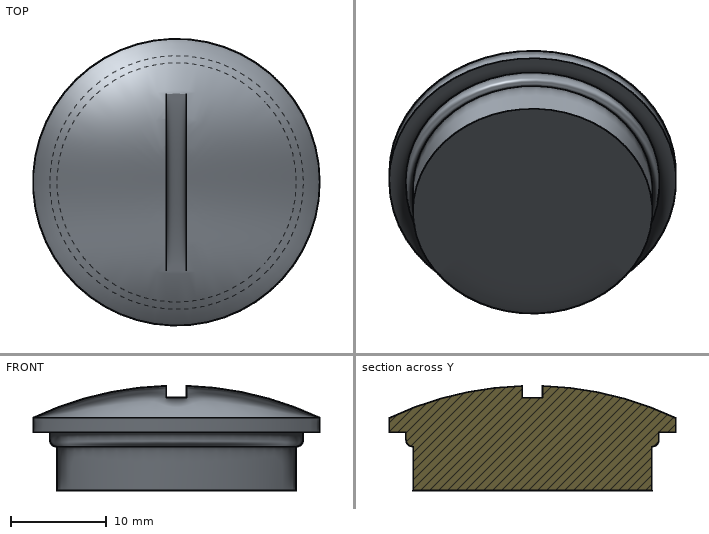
import cadquery as cq
import math

flange_radius = 15.0
collar_radius = 13.25
plug_radius = 12.5

collar_bottom = 4.6
flange_bottom = 6.1
flange_top = 7.62
crest_height = 10.98

slot_width = 2.07
slot_floor = 9.75


dome_center = (
    flange_radius**2 + flange_top**2 - (slot_width / 2) ** 2 - crest_height**2
) / (2 * (flange_top - crest_height))
sphere_radius = math.hypot(flange_radius, flange_top - dome_center)
dome_apex = dome_center + sphere_radius


def dome_height(radius):
    """Return the height of the dome surface at a distance from the axis."""
    return dome_center + math.sqrt(sphere_radius**2 - radius**2)


def make_body():
    """Revolve the half profile of plug, rounded collar, flange and dome about Z."""
    round_radius = collar_radius - plug_radius
    round_reach = round_radius * math.sqrt(0.5)
    collar_edge = collar_bottom + round_radius
    collar_arc_mid = (plug_radius + round_reach, collar_edge - round_reach)
    return (
        cq.Workplane("XZ")
        .lineTo(plug_radius, 0)
        .lineTo(plug_radius, collar_bottom)
        .threePointArc(collar_arc_mid, (collar_radius, collar_edge))
        .lineTo(collar_radius, flange_bottom)
        .lineTo(flange_radius, flange_bottom)
        .lineTo(flange_radius, flange_top)
        .threePointArc((flange_radius / 2, dome_height(flange_radius / 2)), (0, dome_apex))
        .close()
        .revolve(360, (0, 0, 0), (0, 1, 0))
    )


def make_slot():
    """Flat-floored slot that runs out through the dome at both ends."""
    slot_length = 2 * flange_radius
    cut_height = 2 * (dome_apex - slot_floor)
    return (
        cq.Workplane("XY")
        .workplane(offset=slot_floor)
        .rect(slot_width, slot_length)
        .extrude(cut_height)
    )


result = make_body().cut(make_slot())